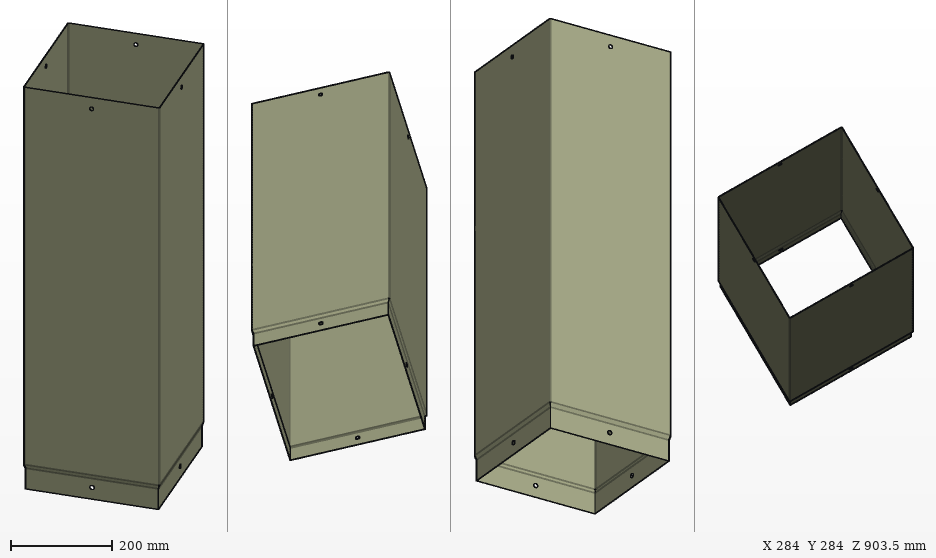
import cadquery as cq
import math


height = 903.5
body_width = 284.0
wall = 1.5
inner_bend_radius = 1.0
neck_inset = 3.0
neck_height = 46.0
taper_height = 10.0
body_hole_diameter = 8.0
body_hole_inset = 25.0
neck_hole_diameter = 9.0
neck_hole_inset = 26.0

outer_bend_radius = inner_bend_radius + wall
taper_angle = math.atan2(neck_inset, taper_height)


def fillet_level(bar, edge_direction, level, radius):
    """Round the bar's bend lines that run in one direction at one height."""
    reach = taper_height / 2
    slab = cq.selectors.BoxSelector(
        (-body_width, -body_width, level - reach),
        (body_width, body_width, level + reach),
    )
    return bar.edges(edge_direction).edges(slab).fillet(radius)


def profile_bar(plane, edge_direction, offset):
    """Bar with the neck, taper and body side profile, its surface moved inward by the offset."""
    body_half = body_width / 2 - offset
    neck_half = body_half - neck_inset
    bend_shift = offset * math.tan(taper_angle / 2)
    neck_top = neck_height + bend_shift
    body_base = neck_top + taper_height

    right_side = [
        (neck_half, 0),
        (neck_half, neck_top),
        (body_half, body_base),
        (body_half, height),
    ]
    left_side = [(-across, up) for across, up in reversed(right_side)]
    outline = cq.Workplane(plane).polyline(right_side + left_side).close()
    bar = outline.extrude(body_width / 2, both=True)

    bar = fillet_level(bar, edge_direction, neck_top, inner_bend_radius + offset)
    return fillet_level(bar, edge_direction, body_base, outer_bend_radius - offset)


def duct_solid(offset):
    """Solid duct shape whose side surface is moved inward by the offset."""
    width = body_width - 2 * offset
    envelope = cq.Workplane("XY").rect(width, width).extrude(height)
    rounded_envelope = envelope.edges("|Z").fillet(outer_bend_radius - offset)
    x_profile = profile_bar("XZ", "|Y", offset)
    y_profile = profile_bar("YZ", "|X", offset)
    return x_profile.intersect(y_profile).intersect(rounded_envelope)


def cross_holes(level, diameter):
    """Cutters through the middle of all four walls at one level."""
    along_y = cq.Workplane("XZ").center(0, level).circle(diameter / 2).extrude(body_width, both=True)
    along_x = cq.Workplane("YZ").center(0, level).circle(diameter / 2).extrude(body_width, both=True)
    return along_y.union(along_x)


result = (
    duct_solid(0)
    .cut(duct_solid(wall))
    .cut(cross_holes(height - body_hole_inset, body_hole_diameter))
    .cut(cross_holes(neck_hole_inset, neck_hole_diameter))
)